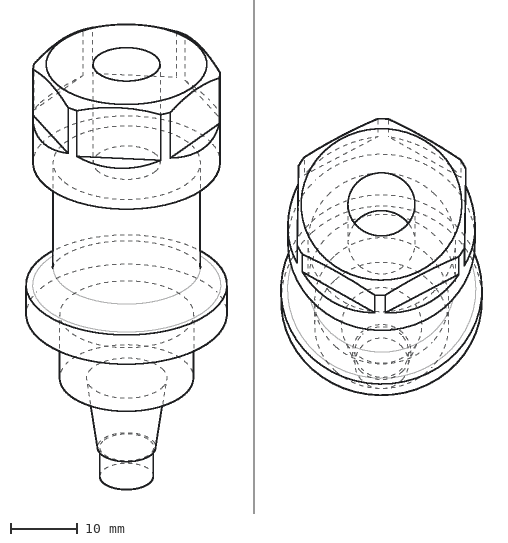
import cadquery as cq
import math

total_height = 71.0
tip_top = 5.05
taper_top = 17.0
flange_bottom = 28.0
flange_top = 33.0
nut_bottom = 54.1

tip_diameter = 8.0
taper_small_diameter = 8.7
taper_large_diameter = 12.0
spigot_diameter = 20.0
flange_diameter = 30.0
shaft_diameter = 22.0
nut_diameter = 28.0
nut_face_diameter = 24.0
bore_diameter = 10.0

root_radius = 3.05
flat_count = 6
across_flats = 25.0
flat_bottom = 62.0
slope_angle = math.radians(30)

nut_radius = nut_diameter / 2
flat_distance = across_flats / 2
chamfer_height = (nut_diameter - nut_face_diameter) / 2 * math.tan(slope_angle)
bore_depth = total_height - nut_bottom


def turned_body():
    """Revolve the half profile, from the tip up to the nut face."""
    shaft_radius = shaft_diameter / 2
    root_center_radius = shaft_radius + root_radius
    root_center_height = flange_top + root_radius
    root_middle = (
        root_center_radius - root_radius * math.cos(math.pi / 4),
        root_center_height - root_radius * math.sin(math.pi / 4),
    )
    return (
        cq.Workplane("XZ")
        .lineTo(tip_diameter / 2, 0)
        .lineTo(tip_diameter / 2, tip_top)
        .lineTo(taper_small_diameter / 2, tip_top)
        .lineTo(taper_large_diameter / 2, taper_top)
        .lineTo(spigot_diameter / 2, taper_top)
        .lineTo(spigot_diameter / 2, flange_bottom)
        .lineTo(flange_diameter / 2, flange_bottom)
        .lineTo(flange_diameter / 2, flange_top)
        .lineTo(root_center_radius, flange_top)
        .threePointArc(root_middle, (shaft_radius, root_center_height))
        .lineTo(shaft_radius, nut_bottom)
        .lineTo(nut_radius, nut_bottom)
        .lineTo(nut_radius, total_height - chamfer_height)
        .lineTo(nut_face_diameter / 2, total_height)
        .lineTo(0, total_height)
        .close()
        .revolve(360, (0, 0, 0), (0, 1, 0))
    )


def flat_cutter():
    """Prism that mills the +Y wrench flat and its sloping run-out."""
    clearance = 0.7
    outer = nut_radius + clearance
    slope_drop = (outer - flat_distance) * math.tan(slope_angle)
    return (
        cq.Workplane("YZ")
        .moveTo(flat_distance, flat_bottom)
        .lineTo(outer, flat_bottom - slope_drop)
        .lineTo(outer, total_height + clearance)
        .lineTo(flat_distance, total_height + clearance)
        .close()
        .extrude(nut_radius, both=True)
    )


def bore():
    """Blind bore, as deep as the nut is tall."""
    return (
        cq.Workplane("XY")
        .workplane(offset=total_height - bore_depth)
        .circle(bore_diameter / 2)
        .extrude(bore_depth)
    )


result = turned_body().cut(bore())
for index in range(flat_count):
    angle = index * 360 / flat_count
    result = result.cut(flat_cutter().rotate((0, 0, 0), (0, 0, 1), angle))